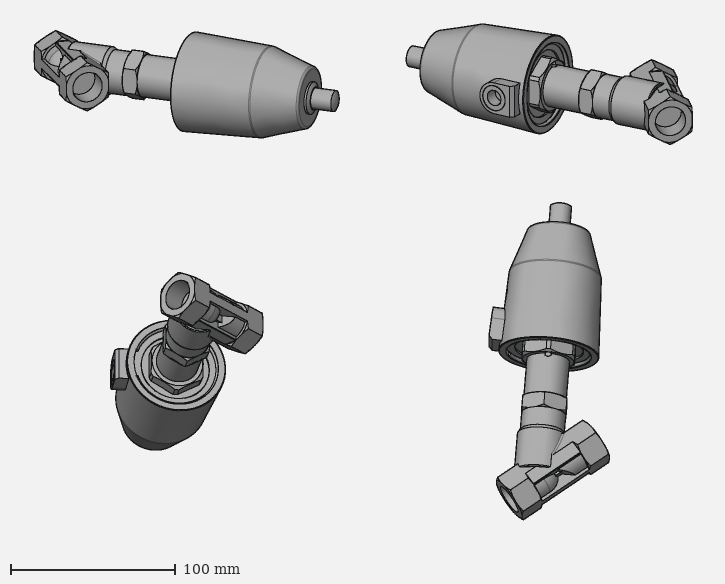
import cadquery as cq
import math

STEM_ANGLE = 50.0
STEM_FOOT_X = -11.0

PIPE_LENGTH = 65.1
PIPE_HEX = 26.9
PIPE_BORE = 18.7
END_HEX_LENGTH = 15.0
PIPE_CHAMFER_DEPTH = 1.8
PIPE_CHAMFER_LENGTH = 0.9
WAIST_LENGTH = PIPE_LENGTH - 2 * (END_HEX_LENGTH - PIPE_CHAMFER_LENGTH)
WAIST_THICKNESS = 26.3
PLATE_HALF_WIDTH = 4.6
RIB_THICKNESS = 6.0
CHAMBER_RADIUS = 11.8
INLET_DOME_X = -10.1
OUTLET_END_X = 24.5
BRIDGE_LENGTH = 4.6
BRIDGE_HEIGHT = 15.3
BRIDGE_FRONT = 6.1
NECK_RADIUS = 15.0
NECK_BOTTOM_AT = 3.8
NECK_BOTTOM_CHAMFER = 0.6
NECK_CONE_AT = 28.7
NECK_JOINT_FILLET = 1.2
NECK_JOINT_MIDDLE = (10.5, 9.8)
NECK_JOINT_HEIGHT = 10.0
NECK_TURNED_RADIUS = 13.5
NECK_TURNED_AT = 31.0
NECK_TOP_AT = 42.5

BONNET_HEX = 26.9
BONNET_HEX_TOP_AT = 52.1
BONNET_CHAMFER_DEPTH = 1.8
BONNET_CHAMFER_LENGTH = 1.0
TUBE_RADIUS = 13.0

COVER_HEX = 32.0
COVER_HEX_AT = 77.2
COVER_HEX_CORNER_RADIUS = 17.7
COVER_FACE_RADIUS = 15.6
COVER_CHAMFER_LENGTH = 1.4
COVER_STEP_RADIUS = 21.0
COVER_STEP_AT = 85.3
COVER_PLATE_AT = 84.1
COVER_TOP_AT = 88.7
VENT_DIAMETER = 4.0
VENT_FLOOR_RADIUS = 10.0
VENT_ROOF_RADIUS = 15.1

RING_WIRE_DIAMETER = 2.5
RING_GAP_ANGLE = 40.0

HOUSING_AT = 81.0
HOUSING_BASE_RADIUS = 30.5
HOUSING_EDGE_CHAMFER = 0.5
HOUSING_SHOULDER_RADIUS = 28.1
HOUSING_SHOULDER_AT = 132.0
HOUSING_TOP_RADIUS = 19.0
HOUSING_TOP_AT = 160.4
HOUSING_TOP_FILLET = 1.8
HOUSING_SHOULDER_FILLET = 3.0
RECESS_RADIUS = 26.0

PORT_WIDTH = 20.0
PORT_FACE = 36.2
PORT_CENTRE_AT = 98.3
PORT_FOOT_AT = 84.7
PORT_CHAMFER = 2.3
PORT_BORE = 9.8
PORT_BORE_DEPTH = 9.2
PORT_SEAT = 16.0
PORT_SEAT_DEPTH = 0.3
PORT_TILT = 3.0

COLLAR_RADIUS = 10.02
COLLAR_EDGE_AT = 161.8
COLLAR_TIP_RADIUS = 7.2
COLLAR_TOP_AT = 163.3
ROD_RADIUS = 6.5
ROD_EDGE_AT = 176.6
ROD_TIP_AT = 178.5

ANGLE = math.radians(STEM_ANGLE)
STEM = cq.Location(cq.Plane(
    origin=(STEM_FOOT_X, 0, 0),
    xDir=(-math.sin(ANGLE), math.cos(ANGLE), 0),
    normal=(math.cos(ANGLE), math.sin(ANGLE), 0),
))


def on_stem(solid):
    """Move a shape from the local stem frame into place."""
    return solid.val().moved(STEM)


def turned(points):
    """Revolve (radius, height) points around the local z axis."""
    return cq.Workplane("XZ").polyline(points).close().revolve(360, (0, 0), (0, 1))


def cylinder(radius, bottom, top):
    return cq.Workplane("XY").workplane(offset=bottom).circle(radius).extrude(top - bottom)


def hexagon(across_flats, bottom, top):
    """Hexagonal prism with its flats facing +-x and its corners on +-y."""
    base = cq.Workplane("XY").workplane(offset=bottom)
    return base.polygon(6, across_flats, circumscribed=True).extrude(top - bottom)


def chamfered_hexagon(across_flats, bottom, top, depth, length):
    """Hexagonal prism with the corners turned off conically at both ends."""
    corner = across_flats / math.sqrt(3)
    envelope = turned([
        (0, bottom), (corner - depth, bottom), (corner, bottom + length),
        (corner, top - length), (corner - depth, top), (0, top),
    ])
    return hexagon(across_flats, bottom, top).intersect(envelope)


def along_pipe(upright):
    """Lay a z-axis shape along X, keeping its +-x flats facing +-Y."""
    return upright.rotate((0, 0, 0), (0, 1, 0), 90).rotate((0, 0, 0), (1, 0, 0), 90)


def end_hexagon(start):
    return along_pipe(chamfered_hexagon(
        PIPE_HEX, start, start + END_HEX_LENGTH, PIPE_CHAMFER_DEPTH, PIPE_CHAMFER_LENGTH))


def waist_cutter(side, y_top, z_inner):
    """Everything below y_top and farther than z_inner from the pipe axis, on the given Z side."""
    outer = PIPE_HEX
    depth = outer - z_inner
    return cq.Workplane("XY").box(WAIST_LENGTH, outer, depth).translate(
        (0, y_top - outer / 2, side * (z_inner + depth / 2)))


def waist():
    """Middle of the pipe: an upright plate with a rib below and the hexagon's upper half above."""
    middle = along_pipe(hexagon(PIPE_HEX, -WAIST_LENGTH / 2, WAIST_LENGTH / 2))
    for side in (1, -1):
        middle = (
            middle.cut(waist_cutter(side, PLATE_HALF_WIDTH, WAIST_THICKNESS / 2))
            .cut(waist_cutter(side, -PLATE_HALF_WIDTH, RIB_THICKNESS / 2))
        )
    return middle


def flow_passages():
    """Outside of the inlet and outlet passages and the bridge between them."""
    half = WAIST_LENGTH / 2
    inlet = (
        cq.Workplane("YZ").workplane(offset=-half).circle(CHAMBER_RADIUS).extrude(half + INLET_DOME_X)
        .union(cq.Workplane("XY").sphere(CHAMBER_RADIUS).translate((INLET_DOME_X, 0, 0)))
    )
    above_seat = cq.Workplane(obj=on_stem(
        cylinder(PIPE_LENGTH, NECK_BOTTOM_AT, NECK_BOTTOM_AT + PIPE_LENGTH)))
    outlet = (
        cq.Workplane("YZ").workplane(offset=-half).circle(CHAMBER_RADIUS).extrude(half + OUTLET_END_X)
        .intersect(above_seat)
    )
    bridge = (
        cq.Workplane("XY").box(BRIDGE_LENGTH, BRIDGE_FRONT, BRIDGE_HEIGHT)
        .translate((0, -BRIDGE_FRONT / 2, 0))
    )
    return inlet.union(outlet).union(bridge)


def neck():
    return cq.Workplane(obj=on_stem(turned([
        (0, NECK_BOTTOM_AT), (NECK_RADIUS - NECK_BOTTOM_CHAMFER, NECK_BOTTOM_AT),
        (NECK_RADIUS, NECK_BOTTOM_AT + NECK_BOTTOM_CHAMFER), (NECK_RADIUS, NECK_CONE_AT),
        (NECK_TURNED_RADIUS, NECK_TURNED_AT), (NECK_TURNED_RADIUS, NECK_TOP_AT), (0, NECK_TOP_AT),
    ])))


def make_valve_body():
    end_starts = (-PIPE_LENGTH / 2, PIPE_LENGTH / 2 - END_HEX_LENGTH)
    body = waist()
    for start in end_starts:
        body = body.union(end_hexagon(start))
    body = body.union(neck())
    for side in (1, -1):
        joint = cq.selectors.NearestToPointSelector((*NECK_JOINT_MIDDLE, side * NECK_JOINT_HEIGHT))
        body = body.edges(joint).fillet(NECK_JOINT_FILLET)
    body = body.union(flow_passages())
    for start in end_starts:
        body = body.cut(
            cq.Workplane("YZ").workplane(offset=start).circle(PIPE_BORE / 2).extrude(END_HEX_LENGTH))
    return body.val()


def vent_hole():
    """Radial hole through the joint of tube and cover, on the +Z side."""
    return (
        cq.Workplane("XZ").center(0, COVER_HEX_AT).circle(VENT_DIAMETER / 2)
        .extrude(VENT_FLOOR_RADIUS - VENT_ROOF_RADIUS).translate((0, VENT_FLOOR_RADIUS, 0))
    )


def make_bonnet():
    nut = chamfered_hexagon(
        BONNET_HEX, NECK_TOP_AT, BONNET_HEX_TOP_AT, BONNET_CHAMFER_DEPTH, BONNET_CHAMFER_LENGTH)
    tube = cylinder(TUBE_RADIUS, BONNET_HEX_TOP_AT, COVER_TOP_AT)
    return on_stem(nut.union(tube).cut(vent_hole()))


def make_cover():
    envelope = turned([
        (0, COVER_HEX_AT), (COVER_FACE_RADIUS, COVER_HEX_AT),
        (COVER_HEX_CORNER_RADIUS, COVER_HEX_AT + COVER_CHAMFER_LENGTH),
        (COVER_HEX_CORNER_RADIUS, COVER_TOP_AT), (0, COVER_TOP_AT),
    ])
    outer_plate = (
        cylinder(RECESS_RADIUS, COVER_PLATE_AT, COVER_TOP_AT)
        .cut(cylinder(COVER_STEP_RADIUS, COVER_PLATE_AT, COVER_STEP_AT))
    )
    cover = (
        hexagon(COVER_HEX, COVER_HEX_AT, COVER_TOP_AT).intersect(envelope)
        .union(cylinder(COVER_STEP_RADIUS, COVER_STEP_AT, COVER_TOP_AT))
        .union(outer_plate)
        .cut(cylinder(TUBE_RADIUS, COVER_HEX_AT, COVER_TOP_AT))
        .cut(vent_hole())
    )
    return on_stem(cover)


def ring_wire():
    """Open round-wire ring lying against the cover plate, its gap on the port side."""
    wire_radius = RING_WIRE_DIAMETER / 2
    return (
        cq.Workplane("XZ").center(RECESS_RADIUS, COVER_PLATE_AT - wire_radius).circle(wire_radius)
        .revolve(360 - RING_GAP_ANGLE, (-RECESS_RADIUS, 0), (-RECESS_RADIUS, 1))
        .rotate((0, 0, 0), (0, 0, 1), RING_GAP_ANGLE / 2)
    )


def port_block():
    """Air connection in its own frame: z points out of the face, y along the wall."""
    half = PORT_WIDTH / 2
    foot = PORT_FOOT_AT - PORT_CENTRE_AT
    return (
        cq.Workplane("XY").moveTo(-half, foot).lineTo(half, foot).lineTo(half, 0)
        .threePointArc((0, half), (-half, 0)).close().extrude(-PORT_FACE / 2)
        .faces("<Y").edges(">Z").chamfer(PORT_CHAMFER)
    )


def on_port(shape):
    """Move a shape from the port frame to the local stem frame."""
    tilt = math.radians(PORT_TILT)
    plane = cq.Plane(
        origin=(PORT_FACE, 0, PORT_CENTRE_AT), xDir=(0, 1, 0),
        normal=(math.cos(tilt), 0, math.sin(tilt)))
    return cq.Workplane(obj=shape.val().moved(cq.Location(plane)))


def make_housing():
    shell = (
        turned([
            (0, HOUSING_AT), (HOUSING_BASE_RADIUS - HOUSING_EDGE_CHAMFER, HOUSING_AT),
            (HOUSING_BASE_RADIUS, HOUSING_AT + HOUSING_EDGE_CHAMFER),
            (HOUSING_SHOULDER_RADIUS, HOUSING_SHOULDER_AT), (HOUSING_TOP_RADIUS, HOUSING_TOP_AT),
            (0, HOUSING_TOP_AT),
        ])
        .faces(">Z").edges().fillet(HOUSING_TOP_FILLET)
        .edges(cq.selectors.NearestToPointSelector((0, 0, HOUSING_SHOULDER_AT)))
        .fillet(HOUSING_SHOULDER_FILLET)
    )
    port_bores = (
        cylinder(PORT_BORE / 2, -PORT_BORE_DEPTH, 0)
        .union(cylinder(PORT_SEAT / 2, -PORT_SEAT_DEPTH, 0))
    )
    housing = (
        shell.union(on_port(port_block()))
        .cut(on_port(port_bores))
        .cut(cylinder(RECESS_RADIUS, HOUSING_AT, COVER_TOP_AT))
        .cut(ring_wire())
    )
    return on_stem(housing)


def make_indicator():
    profile = (
        cq.Workplane("XZ").moveTo(0, HOUSING_TOP_AT).lineTo(COLLAR_RADIUS, HOUSING_TOP_AT)
        .lineTo(COLLAR_RADIUS, COLLAR_EDGE_AT).lineTo(COLLAR_TIP_RADIUS, COLLAR_TOP_AT)
        .lineTo(ROD_RADIUS, COLLAR_TOP_AT).lineTo(ROD_RADIUS, ROD_EDGE_AT)
    )
    dome_rise = ROD_TIP_AT - ROD_EDGE_AT
    dome_radius = (ROD_RADIUS ** 2 + dome_rise ** 2) / (2 * dome_rise)
    half_angle = math.asin(ROD_RADIUS / dome_radius) / 2
    middle = (
        dome_radius * math.sin(half_angle),
        ROD_TIP_AT - dome_radius * (1 - math.cos(half_angle)),
    )
    return on_stem(
        profile.threePointArc(middle, (0, ROD_TIP_AT)).close().revolve(360, (0, 0), (0, 1)))


valve_body = make_valve_body()
bonnet = make_bonnet()
cover = make_cover()
retaining_ring = on_stem(ring_wire())
housing = make_housing()
indicator = make_indicator()

result = cq.Compound.makeCompound([valve_body, bonnet, cover, retaining_ring, housing, indicator])